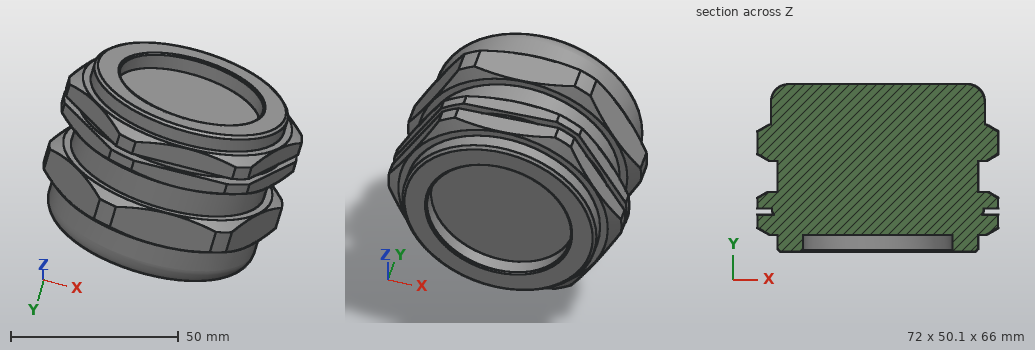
import cadquery as cq
import math


total_length = 50.08
front_collar_length = 5.0
lock_nut_length = 6.1
seal_gap = 1.8
flange_length = 5.0
neck_length = 9.1
cap_nut_length = 11.0

lock_nut_front = front_collar_length
lock_nut_back = lock_nut_front + lock_nut_length
flange_front = lock_nut_back + seal_gap
flange_back = flange_front + flange_length
cap_nut_front = flange_back + neck_length
cap_nut_back = cap_nut_front + cap_nut_length
dome_length = total_length - cap_nut_back

body_diameter = 60.0
front_face_diameter = 58.2
front_chamfer = (body_diameter - front_face_diameter) / 2
dome_diameter = 64.0
dome_edge_radius = 5.5

side_count = 6
corner_diameter = 72.0
nut_across_flats = 65.0
flange_across_flats = 66.0
face_relief = 0.25
corner_chamfer_angle = math.radians(30)

seal_section_radius = 2.0
seal_outer_radius = 31.65
seal_centre_offset = 0.4
seal_centre = flange_front - seal_centre_offset

recess_diameter = 44.5
recess_depth = 5.0
recess_chamfer = 0.5


def plane_at(y):
    """Sketch plane across the axis at y, with its normal towards +Y."""
    return cq.Workplane(cq.Plane(origin=(0, y, 0), xDir=(1, 0, 0), normal=(0, 1, 0)))


def cylinder(y, length, diameter):
    return plane_at(y).circle(diameter / 2).extrude(length)


def revolve_about_y(profile):
    """Turn a closed profile, drawn as (radius, y), about the Y axis."""
    return profile.close().revolve(360, (0, 0, 0), (0, 1, 0))


def hexagon(front, length, across_flats, chamfer_front, chamfer_back):
    """Hexagon with corners on X, turned to the corner diameter and chamfered on the chosen faces."""
    corner_radius = corner_diameter / 2
    face_radius = (across_flats - face_relief) / 2
    chamfer_length = (corner_radius - face_radius) * math.tan(corner_chamfer_angle)
    back = front + length

    turned = cq.Workplane("XY").moveTo(0, front)
    if chamfer_front:
        turned = turned.lineTo(face_radius, front).lineTo(corner_radius, front + chamfer_length)
    else:
        turned = turned.lineTo(corner_radius, front)
    if chamfer_back:
        turned = turned.lineTo(corner_radius, back - chamfer_length).lineTo(face_radius, back)
    else:
        turned = turned.lineTo(corner_radius, back)
    turned = turned.lineTo(0, back)

    across_corners = across_flats / math.cos(math.pi / side_count)
    prism = plane_at(front).polygon(side_count, across_corners).extrude(length)
    return prism.intersect(revolve_about_y(turned))


def body():
    core = cylinder(0, cap_nut_back, body_diameter)
    return core.faces("<Y").chamfer(front_chamfer)


def dome():
    cap = cylinder(cap_nut_back, dome_length, dome_diameter)
    return cap.faces(">Y").edges().fillet(dome_edge_radius)


def seal_ring():
    """Ring filling the gap, with its rounded outside bulging from the flange towards the lock nut."""
    seal_centre_radius = seal_outer_radius - seal_section_radius

    def outside_radius(y):
        return seal_centre_radius + math.sqrt(seal_section_radius**2 - (y - seal_centre) ** 2)

    profile = (
        cq.Workplane("XY")
        .moveTo(0, lock_nut_back)
        .lineTo(outside_radius(lock_nut_back), lock_nut_back)
        .threePointArc((seal_outer_radius, seal_centre), (outside_radius(flange_front), flange_front))
        .lineTo(0, flange_front)
    )
    return revolve_about_y(profile)


def recess():
    mouth_radius = recess_diameter / 2 + recess_chamfer
    profile = (
        cq.Workplane("XY")
        .lineTo(mouth_radius, 0)
        .lineTo(recess_diameter / 2, recess_chamfer)
        .lineTo(recess_diameter / 2, recess_depth)
        .lineTo(0, recess_depth)
    )
    return revolve_about_y(profile)


lock_nut = hexagon(lock_nut_front, lock_nut_length, nut_across_flats, True, False)
flange = hexagon(flange_front, flange_length, flange_across_flats, False, True)
cap_nut = hexagon(cap_nut_front, cap_nut_length, nut_across_flats, True, True)

result = body().union(lock_nut).union(seal_ring()).union(flange).union(cap_nut).union(dome()).cut(recess())